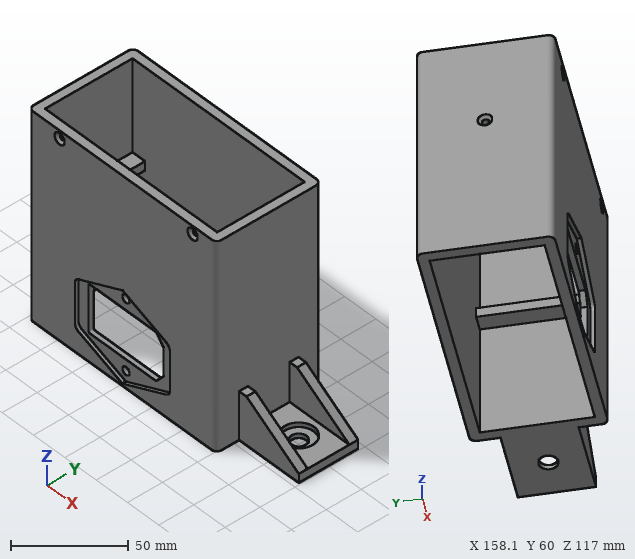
import cadquery as cq

box_length = 120.0
box_width = 60.0
box_height = 117.0
wall = 5.0
corner_radius = 3.0
mid_y = box_width / 2

ledge_reach = 8.0
ledge_top = 64.8
ledge_thickness = wall

total_length = 158.1
bracket_width = 34.0
bracket_height = 27.2
bracket_flat = 4.7
bracket_floor = wall
bracket_hole_x = 139.1
bracket_hole_diameter = 8.5
counterbore_diameter = 17.2
counterbore_depth = 2.5

inlet_x = box_length / 2
inlet_z = 27.2
recess_depth = 2.0
recess_half_width = 30.4
recess_side_half_height = 13.6
recess_apex_half_height = 26.0
recess_corner_radius = 4.0
window_half_width = 23.9
window_half_height = 13.6
window_cut_x = 4.6
window_cut_z = 5.5
window_corner_radius = 1.0
inlet_hole_diameter = 4.5
inlet_hole_offset = 20.0

screw_diameter = 3.2
screw_head_diameter = 6.3
countersink_angle = 90
front_screw_xs = (19.9, 104.8)
front_screw_z = 112.4
end_screw_z = 72.7


def block(x, y, z, length, width, height):
    """Box with its lowest corner at (x, y, z)."""
    return cq.Workplane("XY").box(length, width, height, centered=False).translate((x, y, z))


def make_tube():
    outer = block(0, 0, 0, box_length, box_width, box_height).edges("|Z").fillet(corner_radius)
    cavity = block(wall, wall, 0, box_length - 2 * wall, box_width - 2 * wall, box_height)
    return outer.cut(cavity)


def make_ledge(x):
    return block(x, wall, ledge_top - ledge_thickness, ledge_reach, box_width - 2 * wall, ledge_thickness)


def make_bracket():
    profile = [
        (box_length, 0),
        (total_length, 0),
        (total_length, bracket_floor),
        (box_length + bracket_flat, bracket_height),
        (box_length, bracket_height),
    ]
    bracket = (
        cq.Workplane("XZ", origin=(0, mid_y, 0))
        .polyline(profile)
        .close()
        .extrude(bracket_width / 2, both=True)
    )
    channel_width = bracket_width - 2 * wall
    channel = block(
        box_length, mid_y - channel_width / 2, bracket_floor,
        total_length - box_length, channel_width, bracket_height,
    )
    return (
        bracket.cut(channel)
        .copyWorkplane(cq.Workplane("XY", origin=(bracket_hole_x, mid_y, bracket_floor)))
        .cboreHole(bracket_hole_diameter, counterbore_diameter, counterbore_depth)
    )


def inlet_plane():
    """Plane on the -Y face, centred on the inlet; extruding by a negative depth goes into the wall."""
    return cq.Workplane("XZ", origin=(inlet_x, 0, inlet_z))


def make_inlet_recess():
    outline = [
        (0, recess_apex_half_height),
        (recess_half_width, recess_side_half_height),
        (recess_half_width, -recess_side_half_height),
        (0, -recess_apex_half_height),
        (-recess_half_width, -recess_side_half_height),
        (-recess_half_width, recess_side_half_height),
    ]
    recess = inlet_plane().polyline(outline).close().extrude(-recess_depth)
    side_edges = recess.edges("|Y and (<X or >X)")
    return side_edges.fillet(recess_corner_radius)


def make_inlet_window():
    outline = [
        (-window_half_width, -window_half_height),
        (window_half_width - window_cut_x, -window_half_height),
        (window_half_width, window_cut_z - window_half_height),
        (window_half_width, window_half_height - window_cut_z),
        (window_half_width - window_cut_x, window_half_height),
        (-window_half_width, window_half_height),
    ]
    window = inlet_plane().polyline(outline).close().extrude(-wall)
    return window.edges("|Y and <X").fillet(window_corner_radius)


def make_inlet_holes():
    centres = [(0, inlet_hole_offset), (0, -inlet_hole_offset)]
    return inlet_plane().pushPoints(centres).circle(inlet_hole_diameter / 2).extrude(-wall)


def drill_screws(body):
    front_face = cq.Workplane("XZ")
    front_centres = [(x, front_screw_z) for x in front_screw_xs]
    end_face = cq.Workplane("YZ").transformed(rotate=(0, 180, 0))
    end_centres = [(-mid_y, end_screw_z)]
    for face, centres in ((front_face, front_centres), (end_face, end_centres)):
        body = (
            body.copyWorkplane(face)
            .pushPoints(centres)
            .cskHole(screw_diameter, screw_head_diameter, countersink_angle, depth=wall)
        )
    return body


body = make_tube().union(make_bracket())
for ledge_x in (wall, box_length - wall - ledge_reach):
    body = body.union(make_ledge(ledge_x))
for cutter in (make_inlet_recess(), make_inlet_window(), make_inlet_holes()):
    body = body.cut(cutter)

result = drill_screws(body)